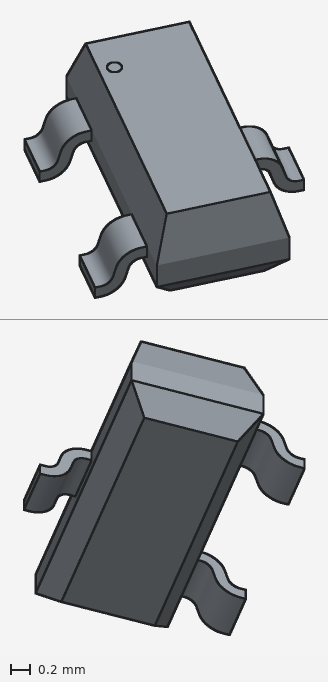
import cadquery as cq
import math

housing_length = 3.0
housing_width = 1.398
housing_height = 1.09
band_bottom = 0.275
band_top = 0.56
top_inset = 0.153
underside_inset = 0.205

lead_span = 2.49
lead_width = 0.51
lead_thickness = 0.138
lead_top = 0.543
lead_offset = 0.918
foot_flat = 0.06
bend_angle = math.radians(75)
inner_radius = 0.135
outer_radius = inner_radius + lead_thickness

marker_diameter = 0.15
marker_depth = 0.03
marker_x = -lead_offset
marker_y = -0.378


def frustum(base_z, base_inset, end_z, end_inset):
    """Housing section between two levels, each inset from the full outline."""
    return (
        cq.Workplane("XY")
        .workplane(offset=base_z)
        .rect(housing_length - 2 * base_inset, housing_width - 2 * base_inset)
        .workplane(offset=end_z - base_z)
        .rect(housing_length - 2 * end_inset, housing_width - 2 * end_inset)
        .loft(ruled=True, combine=True)
    )


def make_marker():
    return (
        cq.Workplane("XY")
        .workplane(offset=housing_height - marker_depth)
        .center(marker_x, marker_y)
        .circle(marker_diameter / 2)
        .extrude(marker_depth)
    )


def make_housing():
    underside = frustum(0, underside_inset, band_bottom, 0)
    band = frustum(band_bottom, 0, band_top, 0)
    top = frustum(band_top, 0, housing_height, top_inset)
    return underside.union(band).union(top).cut(make_marker())


def arc_point(center, radius, angle):
    """Point on a bend; the angle is measured from straight up, toward the foot."""
    return (center[0] + radius * math.sin(angle), center[1] + radius * math.cos(angle))


def make_lead(x_center):
    """Lead leaving the +Y face of the housing, centred on x_center."""
    root = housing_width / 2
    tip = lead_span / 2
    shoulder_bottom = lead_top - lead_thickness

    upper_z = lead_top - outer_radius
    lower_z = outer_radius
    lower_y = tip - foot_flat
    reach = inner_radius + outer_radius
    slope_length = (lower_z - upper_z + reach * math.cos(bend_angle)) / math.sin(bend_angle)
    upper_y = lower_y - reach * math.sin(bend_angle) - slope_length * math.cos(bend_angle)
    upper_center = (upper_y, upper_z)
    lower_center = (lower_y, lower_z)

    half_bend = bend_angle / 2
    lower_start = math.pi + bend_angle
    lower_middle = math.pi + half_bend

    profile = (
        cq.Workplane("YZ")
        .moveTo(root, lead_top)
        .lineTo(upper_y, lead_top)
        .threePointArc(
            arc_point(upper_center, outer_radius, half_bend),
            arc_point(upper_center, outer_radius, bend_angle),
        )
        .lineTo(*arc_point(lower_center, inner_radius, lower_start))
        .threePointArc(
            arc_point(lower_center, inner_radius, lower_middle),
            (lower_y, lead_thickness),
        )
        .lineTo(tip, lead_thickness)
        .lineTo(tip, 0)
        .lineTo(lower_y, 0)
        .threePointArc(
            arc_point(lower_center, outer_radius, lower_middle),
            arc_point(lower_center, outer_radius, lower_start),
        )
        .lineTo(*arc_point(upper_center, inner_radius, bend_angle))
        .threePointArc(
            arc_point(upper_center, inner_radius, half_bend),
            (upper_y, shoulder_bottom),
        )
        .lineTo(root, shoulder_bottom)
        .close()
    )
    return profile.extrude(lead_width / 2, both=True).translate((x_center, 0, 0))


housing = make_housing()
marker = make_marker()

leads = [make_lead(0)]
for x_center in (-lead_offset, lead_offset):
    leads.append(make_lead(x_center).mirror("XZ"))

result = cq.Compound.makeCompound([housing.val(), marker.val(), *[lead.val() for lead in leads]])